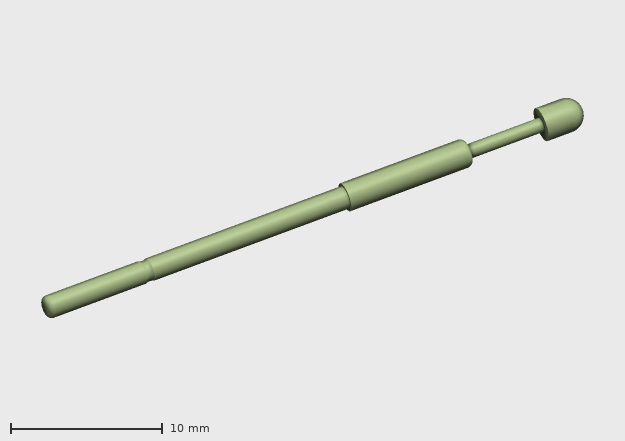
import cadquery as cq
import math

total_length = 39.3

head_radius = 2.3 / 2
stem_radius = 1.0 / 2
collar_radius = 1.95 / 2
barrel_radius = 1.57 / 2
tail_face_radius = 0.95 / 2

head_length = 3.0
stem_length = 5.35
collar_length = 9.0
lip_length = 0.4
tail_round_length = 0.4

groove_start = 7.1
groove_width = 0.6
groove_depth = 0.07

dome_start = total_length - head_radius
head_start = total_length - head_length
collar_end = head_start - stem_length
collar_start = collar_end - collar_length
groove_end = groove_start + groove_width
groove_bottom = (barrel_radius - groove_depth, groove_start + groove_width / 2)
dome_middle_offset = head_radius / math.sqrt(2)
dome_middle = (dome_middle_offset, dome_start + dome_middle_offset)


def rounding_middle(side_radius, face_radius, side_y, face_y):
    """Middle (radius, Y) of the arc that leaves the side tangentially and ends on the face."""
    drop = side_radius - face_radius
    length = face_y - side_y
    arc_radius = (drop**2 + length**2) / (2 * drop)
    half_angle = math.atan2(drop, abs(length))
    middle_radius = side_radius - arc_radius * (1 - math.cos(half_angle))
    middle_y = side_y + math.copysign(arc_radius * math.sin(half_angle), length)
    return middle_radius, middle_y


tail_round_middle = rounding_middle(barrel_radius, tail_face_radius, tail_round_length, 0)
lip_middle = rounding_middle(collar_radius, stem_radius, collar_end - lip_length, collar_end)

half_section = (
    cq.Workplane("XY")
    .lineTo(tail_face_radius, 0)
    .threePointArc(tail_round_middle, (barrel_radius, tail_round_length))
    .lineTo(barrel_radius, groove_start)
    .threePointArc(groove_bottom, (barrel_radius, groove_end))
    .lineTo(barrel_radius, collar_start)
    .lineTo(collar_radius, collar_start)
    .lineTo(collar_radius, collar_end - lip_length)
    .threePointArc(lip_middle, (stem_radius, collar_end))
    .lineTo(stem_radius, head_start)
    .lineTo(head_radius, head_start)
    .lineTo(head_radius, dome_start)
    .threePointArc(dome_middle, (0, total_length))
    .close()
)

result = half_section.revolve(360, (0, 0, 0), (0, 1, 0))